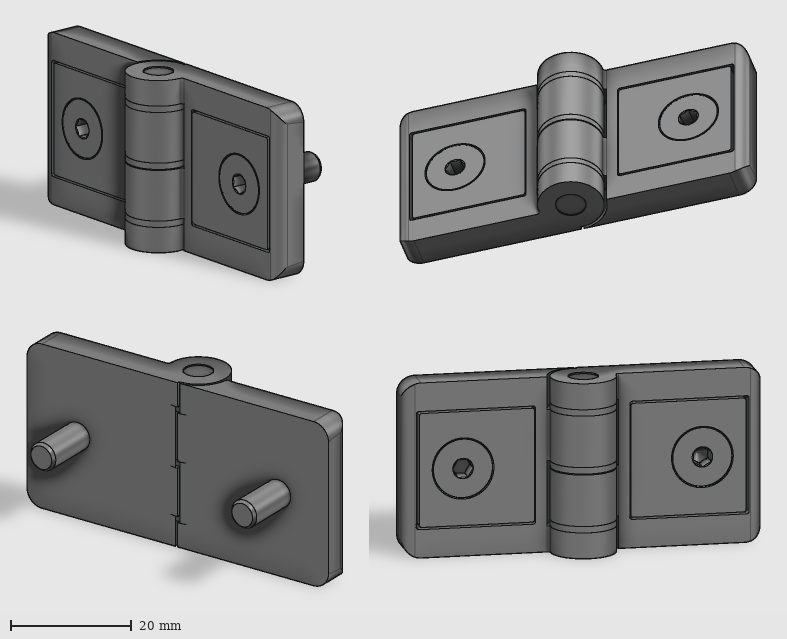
import cadquery as cq
import math


length = 60.6
height = 29.8
plate_thickness = 5.5
corner_radius = 3.0
end_edge_radius = 2.0
end_draft = 0.05

knuckle_radius = 5.5
axis_depth = 6.0
web_radius = 0.5
back_edge_gap = 0.4
pin_diameter = 5.0
pin_recess = 0.25
end_knuckle = 4.4
washer_thickness = 1.1
free_play = 0.2

recess_side = 20.1
recess_center = 18.0
recess_depth = 3.65
recess_corner_radius = 0.5
insert_side = 19.4
insert_center = 17.8
insert_corner_radius = 0.35

stud_center = 20.2
stud_diameter = 5.0
stud_projection = 10.5
stud_tip_length = 0.6
stud_tip_inset = 0.4
head_diameter = 10.0
head_height = 2.1
head_mouth_diameter = 10.4
socket_corner_diameter = 3.45
socket_depth = 3.0
socket_mouth_depth = 0.1
socket_point_depth = 0.95

half_length = length / 2
top = height / 2
front = -plate_thickness
axis_y = -axis_depth
pocket_radius = math.hypot(axis_depth, back_edge_gap)
long_knuckle = (height - 2 * end_knuckle - 3 * washer_thickness - free_play) / 2

knuckle_1_bottom = top - end_knuckle
knuckle_2_top = knuckle_1_bottom - washer_thickness
knuckle_2_bottom = knuckle_2_top - long_knuckle
washer_2_bottom = knuckle_2_bottom - washer_thickness
knuckle_3_top = washer_2_bottom - free_play
knuckle_3_bottom = knuckle_3_top - long_knuckle
knuckle_4_top = knuckle_3_bottom - washer_thickness

right_knuckles = [(knuckle_1_bottom, top), (knuckle_3_bottom, knuckle_3_top)]
left_knuckles = [(knuckle_2_bottom, knuckle_2_top), (-top, knuckle_4_top)]
right_pockets = [(knuckle_3_top, knuckle_1_bottom), (-top, knuckle_3_bottom)]
left_pockets = [(knuckle_2_top, top), (knuckle_4_top, knuckle_2_bottom)]
washer_bottoms = [knuckle_2_top, washer_2_bottom, knuckle_4_top]


def axis_cylinder(radius, bottom, upper):
    """Vertical cylinder on the knuckle axis between two levels."""
    return cq.Workplane("XY", origin=(0, axis_y, bottom)).circle(radius).extrude(upper - bottom)


def y_cylinder(x, radius, y_start, y_end):
    """Cylinder along Y at mid height."""
    plane = cq.Plane(origin=(x, y_start, 0), xDir=(1, 0, 0), normal=(0, 1, 0))
    return cq.Workplane(plane).circle(radius).extrude(y_end - y_start)


def y_cone(x, radius_start, radius_end, y_start, y_end):
    """Cone along Y at mid height; y_end lies behind y_start."""
    return cq.Workplane(cq.Solid.makeCone(
        radius_start, radius_end, y_end - y_start, cq.Vector(x, y_start, 0), cq.Vector(0, 1, 0)))


def square_block(x, side, corner, y_start, y_end):
    """Square block with rounded edges along Y."""
    return (
        cq.Workplane("XY")
        .box(side, y_end - y_start, side)
        .edges("|Y").fillet(corner)
        .translate((x, (y_start + y_end) / 2, 0))
    )


def mirror_to(side, shape):
    """Keep a shape drawn on the +X side, or mirror it for the -X side."""
    return shape if side > 0 else shape.mirror("YZ")


def leaf_plate():
    """Plate on the +X side, with a drafted end, a rounded front edge and rounded corners."""
    profile = (
        cq.Workplane("XY", origin=(0, 0, -top))
        .moveTo(0, 0)
        .lineTo(half_length, 0)
        .lineTo(half_length - end_draft, front)
        .lineTo(0, front)
        .close()
        .extrude(height)
    )
    front_end_edge = cq.selectors.NearestToPointSelector((half_length - end_draft, front, 0))
    plate = profile.edges(front_end_edge).fillet(end_edge_radius)
    outline = (
        cq.Workplane("XY")
        .box(length, 2 * plate_thickness, height)
        .edges("|Y").fillet(corner_radius)
    )
    return plate.intersect(outline)


def knuckle(bottom, upper):
    """Knuckle with the part of the plate beside it and the web fillet between them."""
    web_x = knuckle_radius + web_radius
    web_mid_x = web_x - web_radius * math.cos(math.pi / 4)
    web_mid_y = axis_y + web_radius * math.sin(math.pi / 4)
    web = (
        cq.Workplane("XY", origin=(0, 0, bottom))
        .moveTo(0, axis_y)
        .lineTo(knuckle_radius, axis_y)
        .threePointArc((web_mid_x, web_mid_y), (web_x, axis_y + web_radius))
        .lineTo(web_x, front / 2)
        .lineTo(0, front / 2)
        .close()
        .extrude(upper - bottom)
    )
    return axis_cylinder(knuckle_radius, bottom, upper).union(web)


def make_leaf(side, knuckles, pockets):
    """Leaf with its knuckles, pockets, insert recess and stud hole, before the pin work."""
    leaf = leaf_plate()
    for bottom, upper in pockets:
        leaf = leaf.cut(axis_cylinder(pocket_radius, bottom, upper))
    for bottom, upper in knuckles:
        leaf = leaf.union(knuckle(bottom, upper))
    recess = square_block(recess_center, recess_side, recess_corner_radius, front, front + recess_depth)
    stud_hole = y_cylinder(stud_center, stud_diameter / 2, front, 0)
    return mirror_to(side, leaf.cut(recess).cut(stud_hole))


def make_right_leaf():
    """Right leaf, whose knuckles carry the hinge pin in one piece."""
    pin = axis_cylinder(pin_diameter / 2, -top + pin_recess, top - pin_recess)
    end_recess = axis_cylinder(pin_diameter / 2, top - pin_recess, top)
    return make_leaf(1, right_knuckles, right_pockets).union(pin).cut(end_recess)


def make_left_leaf():
    """Left leaf, bored to turn on the pin."""
    bore = axis_cylinder(pin_diameter / 2, -top, top)
    return make_leaf(-1, left_knuckles, left_pockets).cut(bore)


def make_washer(bottom):
    """Sliding washer around the pin."""
    disc = axis_cylinder(knuckle_radius, bottom, bottom + washer_thickness)
    return disc.cut(axis_cylinder(pin_diameter / 2, bottom, bottom + washer_thickness))


def make_insert(side):
    """Square insert, flush with the plate front, with a seat for the stud head."""
    back = front + recess_depth
    mouth_depth = (head_mouth_diameter - head_diameter) / 2
    insert = square_block(insert_center, insert_side, insert_corner_radius, front, back)
    insert = insert.cut(y_cylinder(stud_center, stud_diameter / 2, front, back))
    insert = insert.cut(y_cylinder(stud_center, head_diameter / 2, front, front + head_height))
    insert = insert.cut(
        y_cone(stud_center, head_mouth_diameter / 2, head_diameter / 2, front, front + mouth_depth))
    return mirror_to(side, insert)


def make_socket(x, turn, pointed):
    """Hexagon socket volume with a conical mouth and a flat or pointed floor."""
    radius = socket_corner_diameter / 2
    flat_radius = radius * math.cos(math.pi / 6)
    floor = front + socket_depth
    plane = cq.Plane(origin=(x, front, 0), xDir=(1, 0, 0), normal=(0, 1, 0))
    socket = (
        cq.Workplane(plane)
        .transformed(rotate=(0, 0, turn))
        .polygon(6, socket_corner_diameter)
        .extrude(socket_depth)
    )
    socket = socket.union(y_cone(x, radius, flat_radius, front, front + socket_mouth_depth))
    if pointed:
        socket = socket.union(y_cone(x, radius, 0, floor, floor + socket_point_depth))
    return socket


def make_stud(side, socket_turn, pointed):
    """Stud with a flat round head, a hexagon socket and a chamfered tip."""
    x = side * stud_center
    radius = stud_diameter / 2
    tip_start = stud_projection - stud_tip_length
    head = y_cylinder(x, head_diameter / 2, front, front + head_height)
    shank = y_cylinder(x, radius, front, tip_start)
    tip = y_cone(x, radius, radius - stud_tip_inset, tip_start, stud_projection)
    return head.union(shank).union(tip).cut(make_socket(x, socket_turn, pointed))


right_leaf = make_right_leaf()
left_leaf = make_left_leaf()
washers = [make_washer(bottom) for bottom in washer_bottoms]
inserts = [make_insert(side) for side in (-1, 1)]
studs = [
    make_stud(side, socket_turn, pointed)
    for side, socket_turn, pointed in [(-1, 0, False), (1, 30, True)]
]

result = cq.Compound.makeCompound(
    [body.solids().val() for body in [right_leaf, left_leaf, *washers, *inserts, *studs]]
)